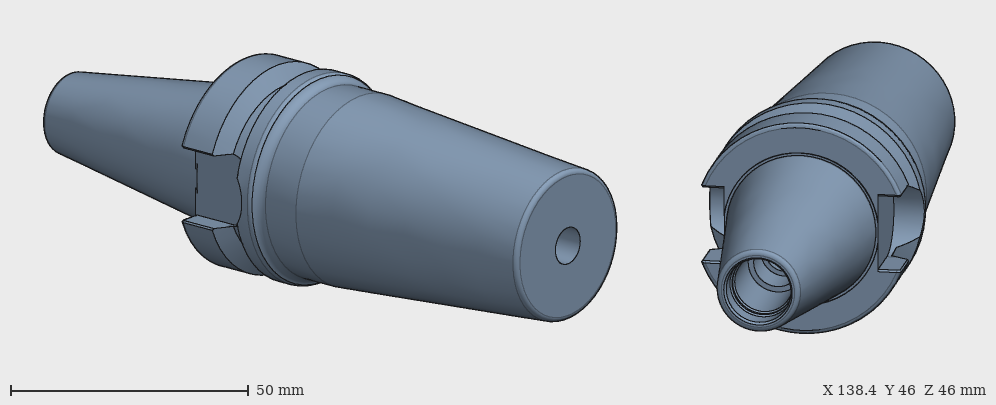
import cadquery as cq
length = 138.4
flange_radius = 23.0

taper_slope = 7 / 48
flange_start = 49.3
taper_large_radius = 32.0 / 2
taper_small_radius = taper_large_radius - taper_slope * flange_start
shank_end_fillet = 1.1

flange_face_fillet = 0.8
groove_start = 58.1
groove_floor_start = 60.5
groove_floor_end = 63.5
groove_end = 65.9
groove_radius = 19.1
rim_end = 69.2
rim_round_run = 1.0
rim_round_drop = 0.4

relief_radius = 16.6
relief_depth = 0.4

collar_start = 72.5
collar_end = 81.0
collar_radius = 42.0 / 2
nose_radius = 16.5
nose_fillet = 1.1

slot_floor = 16.5
slot_half_width = 8.0
slot_end = 67.7
slot_edge_break = 0.4

mouth_radius = 7.3
counterbore_radius = 6.9
pilot_radius = 13.1 / 2
thread_radius = 12.5 / 2
thread_core_radius = 10.1 / 2
through_radius = 8.0 / 2
mouth_depth = 0.7
counterbore_depth = 5.0
pilot_lead_in = 0.4
pilot_depth = 6.2
thread_lead_in = 0.4
thread_depth = 22.1
core_depth = 30.5


def make_body():
    """Turned outside of the holder, with rounded ends."""
    rim_round_end = rim_end + rim_round_run
    neck_start_radius = flange_radius - rim_round_drop
    rim_round_radius = (rim_round_run**2 + rim_round_drop**2) / (2 * rim_round_drop)
    neck_run = collar_start - rim_round_end
    neck_drop = neck_start_radius - collar_radius
    neck_round_radius = (neck_run**2 + neck_drop**2) / (2 * neck_drop)
    profile = (
        cq.Workplane("XY")
        .lineTo(0, taper_small_radius)
        .lineTo(flange_start, taper_large_radius)
        .lineTo(flange_start + relief_depth, taper_large_radius)
        .lineTo(flange_start + relief_depth, relief_radius)
        .lineTo(flange_start, relief_radius)
        .lineTo(flange_start, flange_radius - flange_face_fillet)
        .radiusArc((flange_start + flange_face_fillet, flange_radius), flange_face_fillet)
        .lineTo(groove_start, flange_radius)
        .lineTo(groove_floor_start, groove_radius)
        .lineTo(groove_floor_end, groove_radius)
        .lineTo(groove_end, flange_radius)
        .lineTo(rim_end, flange_radius)
        .radiusArc((rim_round_end, neck_start_radius), rim_round_radius)
        .radiusArc((collar_start, collar_radius), -neck_round_radius)
        .lineTo(collar_end, collar_radius)
        .lineTo(length, nose_radius)
        .lineTo(length, 0)
        .close()
    )
    body = profile.revolve(360, (0, 0, 0), (1, 0, 0))
    body = body.faces("<X").edges().fillet(shank_end_fillet)
    return body.faces(">X").edges().fillet(nose_fillet)


def slot_cutter():
    """Round-ended slot along X, cut outward in +Y from the slot floor."""
    round_centre = slot_end - slot_half_width
    return (
        cq.Workplane("XZ", origin=(0, slot_floor, 0))
        .moveTo(flange_start, slot_half_width)
        .lineTo(round_centre, slot_half_width)
        .threePointArc((slot_end, 0), (round_centre, -slot_half_width))
        .lineTo(flange_start, -slot_half_width)
        .close()
        .extrude(-flange_radius)
    )


def break_slot_edges(body):
    """Chamfer the slot walls where they meet the flange face and its rim."""
    margin = 0.1

    def on_slot_wall(edge):
        box = edge.BoundingBox()
        flat = box.zlen < margin and abs(abs(box.zmin) - slot_half_width) < margin
        on_flange = box.xmax < groove_start + margin
        off_floor = edge.Center().y**2 > (slot_floor + margin) ** 2
        off_groove = edge.Center().x < groove_start - margin
        return flat and on_flange and off_floor and off_groove

    edges = [edge for edge in body.edges().vals() if on_slot_wall(edge)]
    return body.newObject(edges).chamfer(slot_edge_break)


def make_bore():
    """Stepped hole on the axis, open at both ends."""
    return (
        cq.Workplane("XY")
        .lineTo(0, mouth_radius)
        .lineTo(mouth_depth, counterbore_radius)
        .lineTo(counterbore_depth, counterbore_radius)
        .lineTo(counterbore_depth + pilot_lead_in, pilot_radius)
        .lineTo(pilot_depth, pilot_radius)
        .lineTo(pilot_depth + thread_lead_in, thread_radius)
        .lineTo(thread_depth, thread_radius)
        .lineTo(thread_depth, thread_core_radius)
        .lineTo(core_depth, thread_core_radius)
        .lineTo(core_depth, through_radius)
        .lineTo(length, through_radius)
        .lineTo(length, 0)
        .close()
        .revolve(360, (0, 0, 0), (1, 0, 0))
    )


slot = slot_cutter()
slotted_body = make_body().cut(slot).cut(slot.mirror("XZ"))
result = break_slot_edges(slotted_body).cut(make_bore())